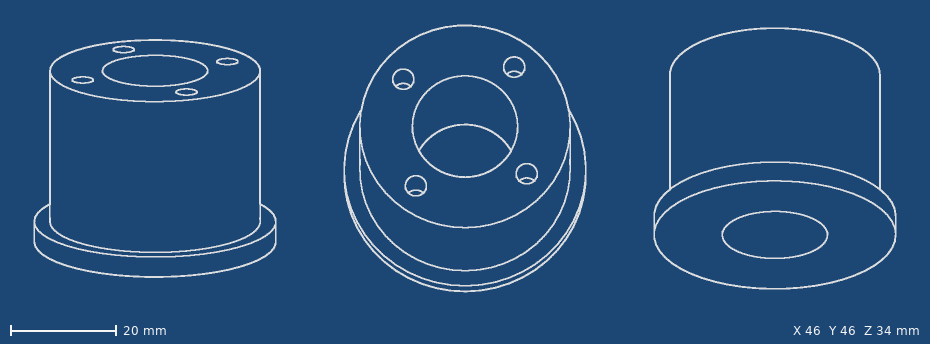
import cadquery as cq

flange_diameter = 46.0
flange_thickness = 4.0
total_height = 34.0
barrel_diameter = 40.0
bore_diameter = barrel_diameter / 2

hole_count = 4
hole_diameter = 4.0
hole_depth = 10.0
hole_circle_radius = (barrel_diameter + bore_diameter) / 4


def make_body():
    """Flange disc with the barrel standing on it."""
    flange = cq.Workplane("XY").circle(flange_diameter / 2).extrude(flange_thickness)
    barrel = cq.Workplane("XY").circle(barrel_diameter / 2).extrude(total_height)
    return flange.union(barrel)


def make_bore():
    """Through bore along the axis."""
    return cq.Workplane("XY").circle(bore_diameter / 2).extrude(total_height)


def make_top_holes():
    """Ring of blind holes, the first on the +X axis."""
    return (
        cq.Workplane("XY", origin=(0, 0, total_height))
        .polarArray(hole_circle_radius, 0, 360, hole_count)
        .circle(hole_diameter / 2)
        .extrude(-hole_depth)
    )


result = make_body().cut(make_bore()).cut(make_top_holes())